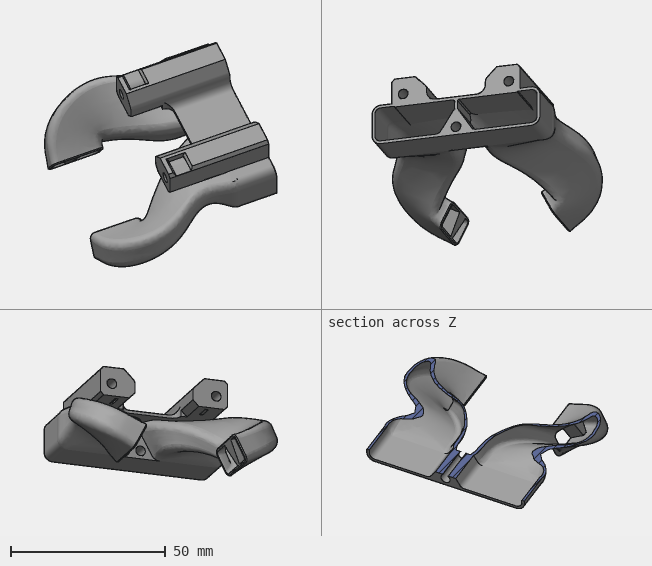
import cadquery as cq
import math


RAIL_LENGTH = 34.8
RAIL_OUTER = 21.85
RAIL_INNER = 9.95
RAIL_HEIGHT = 9.75
RAIL_BEVEL = 3.9
RAIL_BEVEL_ROUND = 2.35
RAIL_OUTER_CHAMFER = 1.05
RAIL_LOWER_CHAMFER = 2.0
SCREW_HOLE_D = 3.3
RAIL_HOLE_X = 17.95
RAIL_HOLE_Z = 4.2

SLOT_CENTRE_Y = -29.85
SLOT_WIDTH = 5.2
SLOT_INNER = 14.95
SLOT_DEPTH = 1.0
SLOT_FLARE = 0.75

PLATE_THICKNESS = 1.05
PLATE_LENGTH = 20.7
PLATE_FILLET = 3.0

BLOCK_LENGTH = 12.8
BLOCK_HALF_WIDTH = 28.5
BLOCK_TOP = 1.25
BLOCK_BOTTOM = -12.2
BLOCK_ROUND = 3.0
BLOCK_HOLE_Z = -9.45

WALL = 1.0
NOZZLE_TILT = 27.6
DIVIDER_TOP_WIDTH = 6.25
DIVIDER_Y = -53.2
DIVIDER_BOTTOM_WIDTH = 1.4
DIVIDER_DEPTH = 5.55
RIM_CHAMFER = 0.4

BLOCK_MIDDLE = (BLOCK_TOP + BLOCK_BOTTOM) / 2
BLOCK_HALF_HEIGHT = (BLOCK_TOP - BLOCK_BOTTOM) / 2
INLET = ((-BLOCK_HALF_WIDTH, -BLOCK_LENGTH, BLOCK_MIDDLE), BLOCK_HALF_HEIGHT,
         (-1.05, -BLOCK_LENGTH, BLOCK_MIDDLE), BLOCK_HALF_HEIGHT, 0, 3.75, BLOCK_ROUND)
NOZZLE = ((-17.0, -60.3, -21.7), 5.1, (-17.0, -41.9, -21.7), 5.0, NOZZLE_TILT, 0, 2.1)
SECTIONS = [
    INLET,
    ((-27.95, -17.4, -4.0), 5.3, (-2.65, -18.4, -6.4), 6.1, 0, 2.65, 2.8),
    ((-27.0, -23.65, -2.8), 3.9, (-5.2, -25.7, -8.55), 5.5, 0, 1.4, 2.8),
    ((-31.45, -33.7, -4.9), 4.3, (-12.9, -35.5, -13.2), 4.65, 15, 0.7, 2.8),
    ((-33.7, -43.8, -8.5), 4.65, (-17.4, -40.2, -17.5), 4.4, 22, 0, 2.8),
    ((-29.55, -54.6, -13.85), 5.1, (-18.8, -41.5, -19.6), 4.45, 26, 0, 2.8),
    ((-23.3, -58.9, -18.2), 4.95, (-18.1, -41.95, -20.7), 4.7, NOZZLE_TILT, 0, 2.4),
    NOZZLE,
]


def section_wire(section, inset=0.0):
    """Closed outline of one duct section, moved inward by inset."""
    outer, outer_half, inner, inner_half, tilt, lean, rounding = section
    angle = math.radians(tilt)
    up = cq.Vector(math.sin(angle), 0, math.cos(angle))
    outer = cq.Vector(*outer)
    inner = cq.Vector(*inner)
    across = (inner - outer).normalized()
    outer += across * inset
    inner -= across * inset
    outer_rise = up * (outer_half - inset)
    inner_rise = up * (inner_half - inset) + across * lean
    corners = [outer + outer_rise, inner + inner_rise, inner - inner_rise, outer - outer_rise]
    outline = cq.Wire.makePolygon(corners, close=True)
    return outline.fillet2D(rounding - inset, outline.Vertices())


def mouth_centre():
    """Centre of the nozzle mouth."""
    outer, inner = NOZZLE[0], NOZZLE[2]
    return tuple((a + b) / 2 for a, b in zip(outer, inner))


def duct(inset=0.0):
    """Left duct from the back face to the nozzle."""
    arm = cq.Solid.makeLoft([section_wire(s, inset) for s in SECTIONS])
    inlet_face = cq.Face.makeFromWires(section_wire(INLET, inset))
    inlet = cq.Solid.extrudeLinear(inlet_face, cq.Vector(0, BLOCK_LENGTH, 0))
    return cq.Workplane(arm).union(cq.Workplane(inlet))


def box(x_range, y_range, z_range):
    """Axis-aligned box between the given limits."""
    low, high = zip(x_range, y_range, z_range)
    size = [b - a for a, b in zip(low, high)]
    return cq.Workplane("XY").box(*size, centered=False).translate(low)


def both_sides(body):
    """Body joined with its mirror image."""
    return body.union(body.mirror("YZ"))


def inlet_block():
    block = box((-BLOCK_HALF_WIDTH, BLOCK_HALF_WIDTH), (-BLOCK_LENGTH, 0), (BLOCK_BOTTOM, BLOCK_TOP))
    return block.edges("|Y").fillet(BLOCK_ROUND)


def plate():
    """Flat plate that runs under both rails, flares into them and rounds out at its front edge."""
    root = -RAIL_INNER - RAIL_LOWER_CHAMFER
    body = box((root, -root), (-PLATE_LENGTH, 0), (0, PLATE_THICKNESS))
    flare = (
        cq.Workplane("XZ")
        .moveTo(root, PLATE_THICKNESS)
        .lineTo(root, PLATE_THICKNESS + PLATE_FILLET)
        .lineTo(-RAIL_INNER, PLATE_THICKNESS + PLATE_FILLET)
        .radiusArc((-RAIL_INNER + PLATE_FILLET, PLATE_THICKNESS), -PLATE_FILLET)
        .close()
        .extrude(PLATE_LENGTH + PLATE_FILLET)
    )
    front_corner = box(
        (root, -RAIL_INNER + PLATE_FILLET),
        (-PLATE_LENGTH - PLATE_FILLET, -PLATE_LENGTH),
        (0, PLATE_THICKNESS),
    )
    corner_cut = (
        cq.Workplane("XY")
        .center(-RAIL_INNER + PLATE_FILLET, -PLATE_LENGTH - PLATE_FILLET)
        .circle(PLATE_FILLET)
        .extrude(RAIL_HEIGHT)
    )
    return body.union(both_sides(front_corner.union(flare).cut(corner_cut)))


def rail():
    """Left rail, without its holes."""
    body = box((-RAIL_OUTER, -RAIL_INNER), (-RAIL_LENGTH, 0), (0, RAIL_HEIGHT))
    body = body.edges("|Y and <X").chamfer(RAIL_OUTER_CHAMFER)
    body = body.edges("|Y and >X and <Z").chamfer(RAIL_LOWER_CHAMFER)
    body = body.edges("|Y and >X and >Z").chamfer(RAIL_BEVEL)
    bevel_foot = cq.selectors.NearestToPointSelector(
        (-RAIL_INNER, -RAIL_LENGTH / 2, RAIL_HEIGHT - RAIL_BEVEL)
    )
    return body.edges(bevel_foot).fillet(RAIL_BEVEL_ROUND)


def strap_slot():
    """Slot that runs over the screw bore and down its inner side, flared at the top."""
    floor = RAIL_HEIGHT - SLOT_DEPTH
    saddle_radius = floor - RAIL_HOLE_Z
    slot_y = (SLOT_CENTRE_Y - SLOT_WIDTH / 2, SLOT_CENTRE_Y + SLOT_WIDTH / 2)
    opening = box((-RAIL_OUTER, -SLOT_INNER), slot_y, (0, RAIL_HEIGHT))
    saddle = (
        cq.Workplane("XZ", origin=(-RAIL_HOLE_X, slot_y[1], RAIL_HOLE_Z))
        .circle(saddle_radius)
        .extrude(SLOT_WIDTH)
    )
    outer_wall = box((-RAIL_OUTER, -RAIL_HOLE_X), slot_y, (0, floor))
    flare = (
        cq.Workplane("YZ", origin=(-RAIL_OUTER, 0, 0))
        .polyline([
            (slot_y[0] - SLOT_FLARE, RAIL_HEIGHT),
            (slot_y[0], floor),
            (slot_y[1], floor),
            (slot_y[1] + SLOT_FLARE, RAIL_HEIGHT),
        ])
        .close()
        .extrude(RAIL_OUTER - SLOT_INNER)
    )
    return opening.cut(saddle).cut(outer_wall).union(flare)


def bore(x, z):
    """Screw hole along Y through the whole depth of a rail or the inlet block."""
    return cq.Workplane("XZ", origin=(x, 0, z)).circle(SCREW_HOLE_D / 2).extrude(RAIL_LENGTH)


def nozzle_divider():
    """Wedge across the nozzle mouth, wide at its upper wall and narrow at its lower wall."""
    centre = mouth_centre()
    top = NOZZLE[1] - WALL / 2
    tilt = math.radians(NOZZLE_TILT)
    mouth = cq.Plane(
        origin=(centre[0], DIVIDER_Y, centre[2]),
        xDir=(0, -1, 0),
        normal=(-math.cos(tilt), 0, math.sin(tilt)),
    )
    return (
        cq.Workplane(mouth)
        .polyline([
            (-DIVIDER_TOP_WIDTH / 2, top),
            (DIVIDER_TOP_WIDTH / 2, top),
            (DIVIDER_BOTTOM_WIDTH / 2, -top),
            (-DIVIDER_BOTTOM_WIDTH / 2, -top),
        ])
        .close()
        .extrude(DIVIDER_DEPTH)
    )


def left_half():
    """Everything left of the symmetry plane, apart from the plate."""
    reach = 2 * RAIL_LENGTH
    left_space = box((-reach, 0), (-reach, 0), (-reach, BLOCK_TOP))
    passage_space = box((-reach, -WALL / 2), (-reach, 0), (-reach, BLOCK_TOP))
    above_plate = box((-RAIL_INNER, 0), (-RAIL_LENGTH, 0), (PLATE_THICKNESS, RAIL_HEIGHT))
    passage = duct(WALL).intersect(passage_space).cut(nozzle_divider())
    mouth_face = cq.selectors.NearestToPointSelector(mouth_centre())
    body = duct().faces(mouth_face).edges().chamfer(RIM_CHAMFER)
    body = body.union(inlet_block()).intersect(left_space).cut(above_plate)
    body = body.cut(passage).union(rail())
    return body.cut(bore(-RAIL_HOLE_X, RAIL_HOLE_Z)).cut(strap_slot())


result = both_sides(left_half()).union(plate())
result = result.cut(bore(0, BLOCK_HOLE_Z))